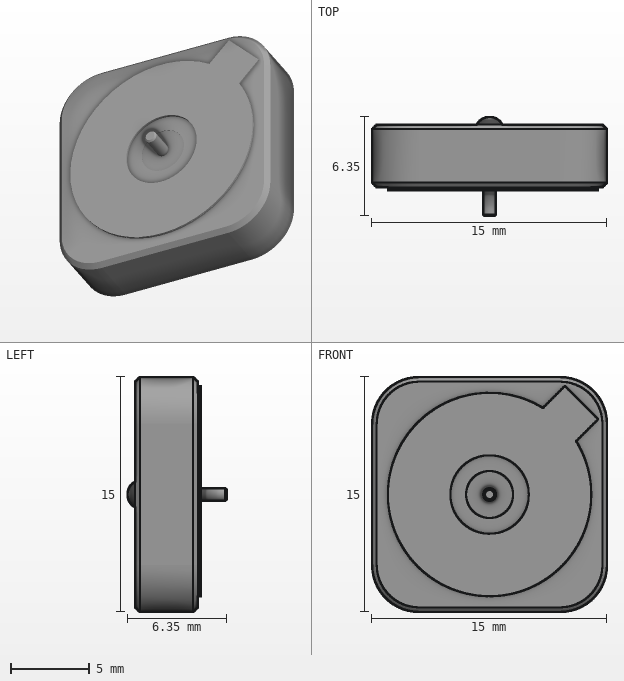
import cadquery as cq
import math

housing_side = 15.0
housing_depth = 4.0
corner_radius = 3.0
edge_chamfer = 0.3

clearance_radius = 1.5
clearance_depth = 0.03

ring_radius = 6.5
ring_opening_radius = 2.5
layer_thickness = 0.1

tab_width = 3.0
tab_reach = 8.3
tab_angle = 45.0

pin_radius = 0.4
pin_protrusion = 1.85
pin_tip_chamfer = 0.1
head_height = 0.5
head_sphere_radius = 0.93


def disc(radius, front_y, depth):
    """Cylinder around the Y axis that runs from front_y towards +Y."""
    return cq.Workplane("XZ", origin=(0, front_y, 0)).circle(radius).extrude(-depth)


def make_housing():
    """Rounded square block with the clearance and a through hole for the pin."""
    block = (
        cq.Workplane("XZ")
        .rect(housing_side, housing_side)
        .extrude(-housing_depth)
        .edges("|Y")
        .fillet(corner_radius)
        .faces("<Y or >Y")
        .chamfer(edge_chamfer)
    )
    clearance = disc(clearance_radius, 0, clearance_depth)
    pin_hole = disc(pin_radius, 0, housing_depth)
    return block.cut(clearance).cut(pin_hole)


def make_ring(front_y):
    """Flat ring, one layer thick."""
    outside = disc(ring_radius, front_y, layer_thickness)
    opening = disc(ring_opening_radius, front_y, layer_thickness)
    return outside.cut(opening)


def make_adhesive():
    """Inner layer, in contact with the housing."""
    return make_ring(-layer_thickness)


def make_liner():
    """Outer layer, with the pull tab overhanging the adhesive."""
    front_y = -2 * layer_thickness
    tab_start = (ring_opening_radius + ring_radius) / 2
    tab = (
        cq.Workplane("XY")
        .box(tab_reach - tab_start, layer_thickness, tab_width, centered=(False, False, True))
        .translate((tab_start, front_y, 0))
        .rotate((0, 0, 0), (0, 1, 0), -tab_angle)
    )
    return make_ring(front_y).union(tab)


def make_pin():
    """Half profile in the YZ plane, revolved around the Y axis."""
    head_top = housing_depth + head_height
    sphere_center_y = head_top - head_sphere_radius
    head_half_angle = math.acos((housing_depth - sphere_center_y) / head_sphere_radius)
    head_rim_radius = head_sphere_radius * math.sin(head_half_angle)
    arc_middle = (
        sphere_center_y + head_sphere_radius * math.cos(head_half_angle / 2),
        head_sphere_radius * math.sin(head_half_angle / 2),
    )
    return (
        cq.Workplane("YZ")
        .moveTo(-pin_protrusion, 0)
        .lineTo(-pin_protrusion, pin_radius - pin_tip_chamfer)
        .lineTo(-pin_protrusion + pin_tip_chamfer, pin_radius)
        .lineTo(housing_depth, pin_radius)
        .lineTo(housing_depth, head_rim_radius)
        .threePointArc(arc_middle, (head_top, 0))
        .close()
        .revolve(360, (0, 0, 0), (1, 0, 0))
    )


housing = make_housing()
adhesive = make_adhesive()
liner = make_liner()
pin = make_pin()

result = cq.Compound.makeCompound([housing.val(), adhesive.val(), liner.val(), pin.val()])